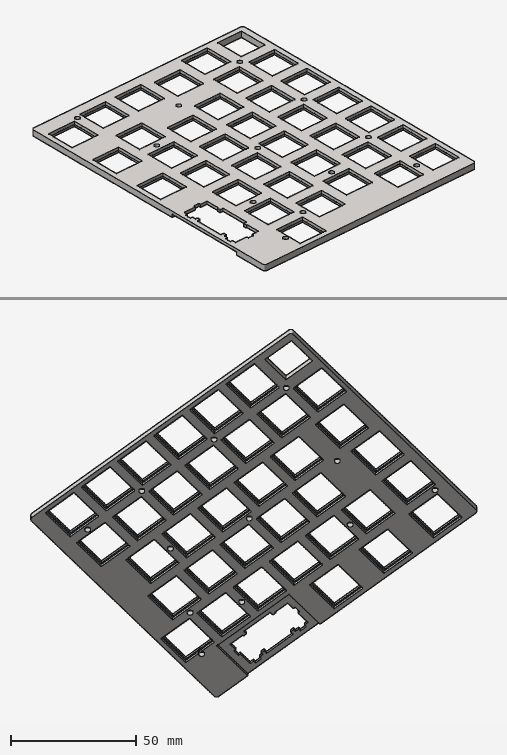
import cadquery as cq

PLATE_LENGTH = 138.1
COLUMNS = 7.25
ROWS = 6
ROW_CENTER = 0.5
UNIT = PLATE_LENGTH / COLUMNS
PLATE_WIDTH = ROWS * UNIT
THICKNESS = 3.0
CORNER_RADIUS = 1.2

LIP = THICKNESS / 2
OPENING = 14.0
SHORT_OPENING = 12.8
RELIEF_MARGIN = 0.5

PLAIN_KEY = (0.5, 0.5)

SWITCH_ROWS = [
    [1.5, 2.5, 3.5, 4.5, 5.5, 6.5],
    [0.5, 1.5, 2.5, 3.5, 4.5, 5.5, 6.5],
    [0.75, 2, 3, 4, 5, 6],
    [0.625, 2.25, 3.25, 4.25, 5.25, 6.25],
    [0.625, 1.75, 2.75, 3.75, 4.75, 5.75, 6.75],
    [0.75, 2.125, 3.5],
]
WIDE_KEY = (5.375, 5.5)

STABILIZER_OFFSET = 11.9
HOUSING_WIDTH = 6.6
HOUSING_BACK = 5.8
HOUSING_FRONT = -6.5
BRIDGE_HALF_WIDTH = 5.4
FOOT_WIDTH = 3.0
FOOT_FRONT = -7.6
SIDE_NOTCH_REACH = 16.2
SIDE_NOTCH_BACK = 2.3
SIDE_NOTCH_FRONT = -0.4

POCKET_LENGTH = 2 * UNIT
POCKET_WIDTH = UNIT

SCREW_DIAMETER = 2.3
SCREW_POSITIONS = [
    (1, 1), (3, 1), (5, 1), (6.5, 1),
    (5.5, 2.5),
    (3.75, 3), (1.4, 3.1),
    (6.25, 4),
    (2.25, 4.5), (5.25, 4.5),
    (0.33, 5), (6.75, 4.95),
]


def grid_point(column, row):
    """Plate coordinates of a grid position; the plate is centred on the origin."""
    return column * UNIT - PLATE_LENGTH / 2, PLATE_WIDTH / 2 - row * UNIT


def block(left, right, front, back, height=THICKNESS):
    """Box between the given sides, standing on the underside of the plate."""
    solid = cq.Workplane("XY").box(right - left, back - front, height, centered=False)
    return solid.translate((left, front, 0))


def centred_block(center, length, width, height=THICKNESS):
    x, y = center
    return block(x - length / 2, x + length / 2, y - width / 2, y + width / 2, height)


def switch_cutter(center):
    relief_size = OPENING + 2 * RELIEF_MARGIN
    relief = centred_block(center, relief_size, relief_size, THICKNESS - LIP)
    return centred_block(center, OPENING, OPENING).union(relief)


def stabilizer_cutter(center):
    """Switch opening joined by a bridge to a stabilizer housing on each side."""
    inner = STABILIZER_OFFSET - HOUSING_WIDTH / 2
    outer = STABILIZER_OFFSET + HOUSING_WIDTH / 2
    foot_inner = STABILIZER_OFFSET - FOOT_WIDTH / 2
    foot_outer = STABILIZER_OFFSET + FOOT_WIDTH / 2
    housing = block(inner, outer, HOUSING_FRONT, HOUSING_BACK)
    foot = block(foot_inner, foot_outer, FOOT_FRONT, 0)
    notch = block(STABILIZER_OFFSET, SIDE_NOTCH_REACH, SIDE_NOTCH_FRONT, SIDE_NOTCH_BACK)
    bridge = block(0, STABILIZER_OFFSET, -BRIDGE_HALF_WIDTH, BRIDGE_HALF_WIDTH)
    side = housing.union(foot).union(notch).union(bridge)
    cutter = centred_block((0, 0), OPENING, OPENING).union(side).union(side.mirror("YZ"))
    return cutter.translate((*center, 0))


result = (
    cq.Workplane("XY")
    .box(PLATE_LENGTH, PLATE_WIDTH, THICKNESS, centered=(True, True, False))
    .edges("|Z")
    .fillet(CORNER_RADIUS)
)

for row, columns in enumerate(SWITCH_ROWS):
    for column in columns:
        result = result.cut(switch_cutter(grid_point(column, row + ROW_CENTER)))
result = result.cut(centred_block(grid_point(*PLAIN_KEY), OPENING, SHORT_OPENING))

wide_key_center = grid_point(*WIDE_KEY)
result = result.cut(stabilizer_cutter(wide_key_center))
result = result.cut(centred_block(wide_key_center, POCKET_LENGTH, POCKET_WIDTH, THICKNESS - LIP))

screw_points = [grid_point(column, row) for column, row in SCREW_POSITIONS]
screw_holes = cq.Workplane("XY").pushPoints(screw_points).circle(SCREW_DIAMETER / 2).extrude(THICKNESS)
result = result.cut(screw_holes)